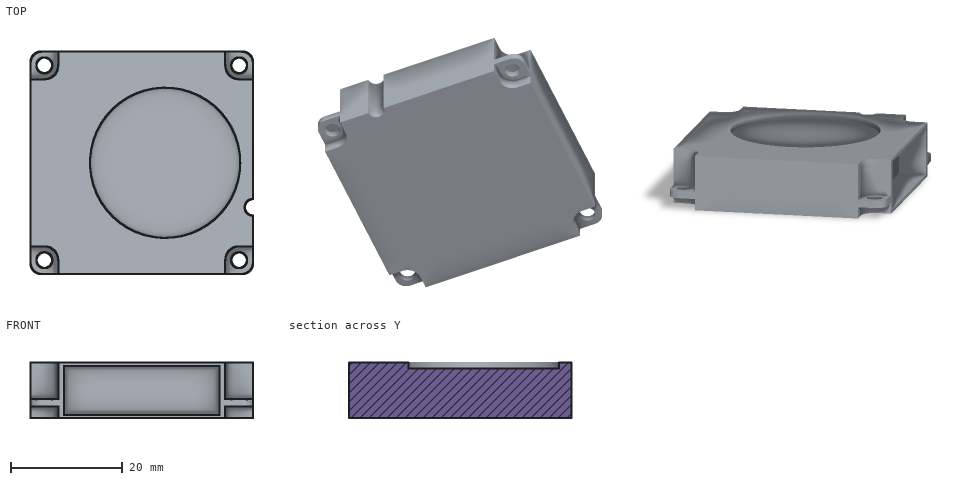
import cadquery as cq

side = 40.0
height = 10.0

corner_size = 5.0
corner_radius = corner_size / 2
tab_bottom = 2.1
tab_thickness = 1.3
tab_corner_radius = 2.0
hole_diameter = 2.8
hole_offset = side / 2 - corner_size / 2

recess_diameter = 27.0
recess_x = 4.2
recess_depth = 1.0

wall = 0.6
opening_width = 28.0
opening_depth = 5.0

notch_radius = 1.5
notch_y = -8.0


def corner_cutter(sign_x, sign_y):
    """Full-height square corner relief with its inner edge rounded."""
    block = cq.Workplane("XY").rect(2 * corner_size, 2 * corner_size).extrude(height)
    return block.edges("|Z").fillet(corner_radius).translate((sign_x * side / 2, sign_y * side / 2, 0))


def make_housing():
    housing = cq.Workplane("XY").box(side, side, height, centered=(True, True, False))
    for sign_x in (-1, 1):
        for sign_y in (-1, 1):
            housing = housing.cut(corner_cutter(sign_x, sign_y))
    return housing


def make_tab_plate():
    """Rounded square plate whose corners fill the reliefs as mounting tabs."""
    plate = cq.Workplane("XY").box(side, side, tab_thickness, centered=(True, True, False))
    plate = plate.edges("|Z").fillet(tab_corner_radius)
    plate = (
        plate.faces(">Z")
        .workplane()
        .rect(2 * hole_offset, 2 * hole_offset, forConstruction=True)
        .vertices()
        .hole(hole_diameter)
    )
    return plate.translate((0, 0, tab_bottom))


def make_recess():
    recess = cq.Workplane("XY").circle(recess_diameter / 2).extrude(recess_depth)
    return recess.translate((recess_x, 0, height - recess_depth))


def make_opening():
    opening = cq.Workplane("XY").box(
        opening_width, opening_depth, height - 2 * wall, centered=(True, False, False)
    )
    return opening.translate((0, -side / 2, wall))


def make_notch():
    return cq.Workplane("XY").center(side / 2, notch_y).circle(notch_radius).extrude(height)


result = make_housing().union(make_tab_plate())
result = result.cut(make_recess()).cut(make_opening()).cut(make_notch())